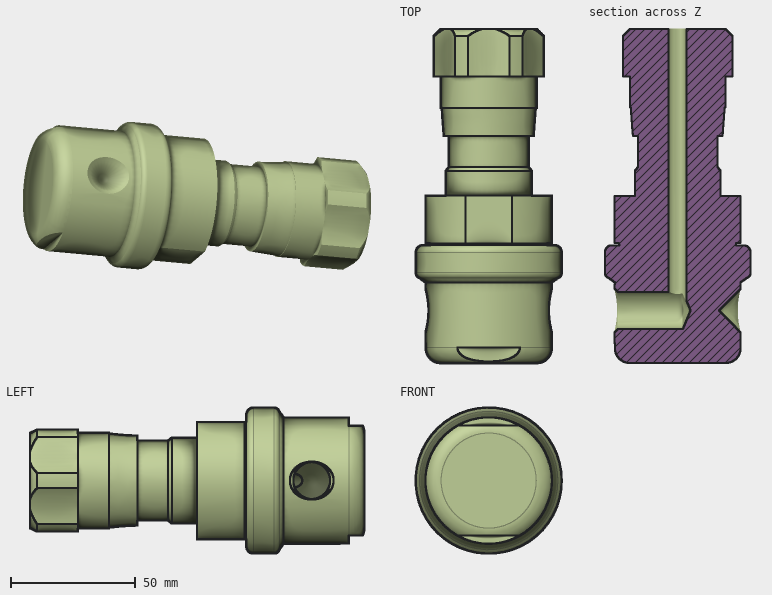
import cadquery as cq
import math

LENGTH = 134.3

PILOT_DIAMETER = 50.8
PILOT_END = 32.5
NOSE_RADIUS = 6.3
NOSE_FLAT_LENGTH = NOSE_RADIUS
NOSE_FLAT_SPACING = 44.2

FLANGE_DIAMETER = 58.75
FLANGE_END = 47.5
FLANGE_BACK_FILLET = 3.0
FLANGE_CONE_END = 34.2
FLANGE_CONE_DIAMETER = 55.6
FLANGE_RIM_START = 36.4

GROOVE_END = 48.2
GROOVE_DIAMETER = 47.2
BLOCK_DIAMETER = PILOT_DIAMETER
BLOCK_END = 67.3
BLOCK_FLAT_SPACING = 47.2

SHOULDER_DIAMETER = 34.6
SHOULDER_END = 78.8
SHOULDER_CHAMFER_LENGTH = 1.5
NECK_DIAMETER = 32.2
NECK_END = 91.2

TAPER_START_DIAMETER = 36.2
TAPER_END_DIAMETER = 37.9
TAPER_END = 102.6
COLLAR_DIAMETER = 38.6
COLLAR_END = 115.1

SCALLOP_COUNT = 6
SCALLOP_BOTTOM_RADIUS = 19.0
SCALLOP_RADIUS = 24.0
NUT_DIAMETER = 44.3
NUT_CHAMFER_RADIAL = 2.9
NUT_CHAMFER_LENGTH = 2.9

CROSS_HOLE_Y = 21.2
CROSS_HOLE_DIAMETER = 14.8
MOUTH_DIAMETER = 17.6
BORE_PAST_AXIS = 2.0
DRILL_TIP_ANGLE = 135.0

COOLANT_DIAMETER = 7.0


def revolve_about_axis(profile):
    """Revolve an (x = radius, y = height along the tool) outline about the Y axis."""
    return profile.close().revolve(360, (0, 0, 0), (0, 1, 0))


def flats_slab(spacing, start, end):
    """Slab between two planes at z = +-spacing / 2, wider than the part."""
    length = end - start
    return cq.Workplane("XY").box(FLANGE_DIAMETER, length, spacing).translate((0, start + length / 2, 0))


def cylinder(diameter, start, end):
    """Cylinder on the tool axis."""
    return cq.Workplane("XZ", origin=(0, start, 0)).circle(diameter / 2).extrude(start - end)


def make_pilot():
    """Pilot cylinder with a rounded nose and a flat above and below."""
    pilot = cylinder(PILOT_DIAMETER, 0, PILOT_END).faces("<Y").edges().fillet(NOSE_RADIUS)
    nose = cylinder(PILOT_DIAMETER, 0, NOSE_FLAT_LENGTH)
    outside_flats = nose.cut(flats_slab(NOSE_FLAT_SPACING, 0, NOSE_FLAT_LENGTH))
    return pilot.cut(outside_flats)


def make_flange():
    """Flange with a front cone rounded into the rim, and a filleted back edge."""
    rim = FLANGE_DIAMETER / 2
    flange = revolve_about_axis(
        cq.Workplane("XY")
        .moveTo(0, FLANGE_END)
        .lineTo(rim, FLANGE_END)
        .lineTo(rim, FLANGE_RIM_START)
        .tangentArcPoint((FLANGE_CONE_DIAMETER / 2, FLANGE_CONE_END), relative=False)
        .lineTo(PILOT_DIAMETER / 2, PILOT_END)
        .lineTo(0, PILOT_END)
    )
    return flange.faces(">Y").edges().fillet(FLANGE_BACK_FILLET)


def make_block():
    """Wrench block: a cylinder with two opposite flats."""
    flats = flats_slab(BLOCK_FLAT_SPACING, GROOVE_END, BLOCK_END)
    return cylinder(BLOCK_DIAMETER, GROOVE_END, BLOCK_END).intersect(flats)


def make_neck_and_skirt():
    """Shoulder, neck, taper and collar between the wrench block and the nut."""
    return revolve_about_axis(
        cq.Workplane("XY")
        .moveTo(0, BLOCK_END)
        .lineTo(SHOULDER_DIAMETER / 2, BLOCK_END)
        .lineTo(SHOULDER_DIAMETER / 2, SHOULDER_END - SHOULDER_CHAMFER_LENGTH)
        .lineTo(NECK_DIAMETER / 2, SHOULDER_END)
        .lineTo(NECK_DIAMETER / 2, NECK_END)
        .lineTo(TAPER_START_DIAMETER / 2, NECK_END)
        .lineTo(TAPER_END_DIAMETER / 2, TAPER_END)
        .lineTo(COLLAR_DIAMETER / 2, TAPER_END)
        .lineTo(COLLAR_DIAMETER / 2, COLLAR_END)
        .lineTo(0, COLLAR_END)
    )


def make_nut():
    """Chamfered round nut with concave scallops around it."""
    nut = cylinder(NUT_DIAMETER, COLLAR_END, LENGTH)
    nut = nut.faces(">Y").chamfer(NUT_CHAMFER_LENGTH, NUT_CHAMFER_RADIAL)
    scallop = cylinder(2 * SCALLOP_RADIUS, COLLAR_END, LENGTH)
    scallop = scallop.translate((0, 0, SCALLOP_BOTTOM_RADIUS + SCALLOP_RADIUS))
    for index in range(SCALLOP_COUNT):
        nut = nut.cut(scallop.rotate((0, 0, 0), (0, 1, 0), index * 360 / SCALLOP_COUNT))
    return nut


def revolve_about_cross_axis(points):
    """Revolve (x, radius) points about the cross hole axis, which is parallel to X."""
    profile = cq.Workplane("XY", origin=(0, CROSS_HOLE_Y, 0)).polyline(points).close()
    return profile.revolve(360, (0, 0, 0), (1, 0, 0))


def cut_holes(body):
    """Cut the cross bore, the opposite conical seat and the axial coolant hole."""
    surface = PILOT_DIAMETER / 2
    mouth = MOUTH_DIAMETER / 2
    hole = CROSS_HOLE_DIAMETER / 2
    tip_depth = hole / math.tan(math.radians(DRILL_TIP_ANGLE / 2))
    bore = revolve_about_cross_axis(
        [
            (-surface, 0),
            (-surface, mouth),
            (-surface + mouth - hole, hole),
            (BORE_PAST_AXIS, hole),
            (BORE_PAST_AXIS + tip_depth, 0),
        ]
    )
    seat = revolve_about_cross_axis([(surface, 0), (surface, mouth), (surface - mouth, 0)])
    coolant = cylinder(COOLANT_DIAMETER, CROSS_HOLE_Y, LENGTH)
    return body.cut(bore).cut(seat).cut(coolant)


body = make_pilot()
body = body.union(make_flange())
body = body.union(cylinder(GROOVE_DIAMETER, FLANGE_END, GROOVE_END))
body = body.union(make_block())
body = body.union(make_neck_and_skirt())
body = body.union(make_nut())
result = cut_holes(body)